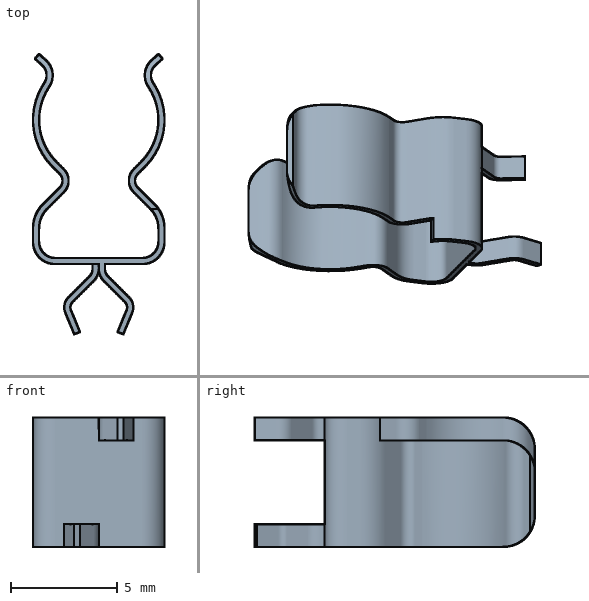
import cadquery as cq
import math

thickness = 0.3
clip_width = 6.2
clip_height = 6.1
leg_height = 1.08

corner_outer_radius = 1.05
side_wall_end_y = 1.69
shoulder_outer_radius = 1.6
neck_half_gap = 1.41
neck_inner_radius = 0.45
lip_inner_radius = 0.65
lip_half_gap = 2.16
lip_flare_angle = 48
lip_length = 0.45
tip_corner_radius = 1.5
neck_angle = 45

leg_root_length = 0.24
leg_root_inner_radius = 0.45
leg_spread_angle = 45
leg_half_spread = 1.63
leg_knee_inner_radius = 0.35
leg_return_angle = 22.5
leg_end_length = 1.11

half_thickness = thickness / 2
half_width = clip_width / 2
half_height = clip_height / 2


def sine(degrees):
    return math.sin(math.radians(degrees))


def cosine(degrees):
    return math.cos(math.radians(degrees))


def offset_point(point, direction, distance):
    """Point moved by a distance along a direction given in degrees."""
    return (point[0] + distance * cosine(direction), point[1] + distance * sine(direction))


def straight(length):
    return ("straight", length, 0)


def bend(radius, turn):
    """Bend with a mid-sheet radius; a positive turn is anticlockwise."""
    return ("bend", radius, turn)


def formed_strip(start, heading, stretches, bottom, height):
    """Sheet strip that follows straight and bent stretches in XY, extruded along Z."""
    position = start
    edges = []
    for kind, size, turn in stretches:
        left_start = offset_point(position, heading + 90, half_thickness)
        right_start = offset_point(position, heading - 90, half_thickness)
        if kind == "straight":
            middle = offset_point(position, heading, size / 2)
            middle_heading = heading
            position = offset_point(position, heading, size)
        else:
            to_center = heading + math.copysign(90, turn)
            center = offset_point(position, to_center, size)
            middle = offset_point(center, to_center + 180 + turn / 2, size)
            middle_heading = heading + turn / 2
            position = offset_point(center, to_center + 180 + turn, size)
            heading += turn
        left = (
            left_start,
            offset_point(middle, middle_heading + 90, half_thickness),
            offset_point(position, heading + 90, half_thickness),
        )
        right = (
            offset_point(position, heading - 90, half_thickness),
            offset_point(middle, middle_heading - 90, half_thickness),
            right_start,
        )
        edges.append((kind, left, right))

    outline = cq.Workplane("XY", origin=(0, 0, bottom)).moveTo(*edges[0][1][0])
    for kind, left, _ in edges:
        outline = outline.lineTo(*left[2]) if kind == "straight" else outline.threePointArc(*left[1:])
    outline = outline.lineTo(*edges[-1][2][0])
    for kind, _, right in reversed(edges):
        outline = outline.lineTo(*right[2]) if kind == "straight" else outline.threePointArc(*right[1:])
    return outline.close().extrude(height)


corner_radius = corner_outer_radius - half_thickness
shoulder_radius = shoulder_outer_radius - half_thickness
neck_radius = neck_inner_radius + half_thickness
lip_radius = lip_inner_radius + half_thickness
bulge_radius = half_width - half_thickness

shoulder_center_x = half_width - shoulder_outer_radius
shoulder_end_x = shoulder_center_x + shoulder_radius * cosine(neck_angle)
neck_center_x = neck_half_gap + half_thickness + neck_radius
neck_start_x = neck_center_x - neck_radius * cosine(neck_angle)
bulge_start_x = bulge_radius * cosine(neck_angle)
shoulder_to_neck = (shoulder_end_x - neck_start_x) / sine(neck_angle)
neck_to_bulge = (bulge_start_x - neck_start_x) / sine(neck_angle)

neck_center_y = (
    side_wall_end_y
    + (shoulder_radius + neck_radius) * sine(neck_angle)
    + shoulder_to_neck * cosine(neck_angle)
)
bulge_center_y = (
    neck_center_y
    + (neck_radius + bulge_radius) * sine(neck_angle)
    + neck_to_bulge * cosine(neck_angle)
)
lip_center_x = lip_half_gap + half_thickness + lip_radius
bulge_end_angle = math.degrees(math.acos(lip_center_x / (bulge_radius + lip_radius)))
lip_center_y = bulge_center_y + (bulge_radius + lip_radius) * sine(bulge_end_angle)
tip_y = (
    lip_center_y
    + (lip_radius + half_thickness) * sine(lip_flare_angle)
    + lip_length * cosine(lip_flare_angle)
)
notch_y = side_wall_end_y + (shoulder_outer_radius - thickness) * sine(neck_angle)


def arm_side_limits():
    """Side shape of the arm: full-height back, notched at the top, rounded tip."""
    bottom_corner = cq.Workplane("YZ", origin=(0, 0, -half_height))
    arm_height = clip_height - leg_height
    back = bottom_corner.rect(notch_y, clip_height, centered=False).extrude(clip_width)
    arm = bottom_corner.rect(tip_y, arm_height, centered=False).extrude(clip_width)
    arm = arm.edges("|X and >Y").fillet(tip_corner_radius)
    return back.union(arm)


def make_arm():
    stretches = [
        straight(half_width - corner_outer_radius),
        bend(corner_radius, 90),
        straight(side_wall_end_y - corner_outer_radius),
        bend(shoulder_radius, neck_angle),
        straight(shoulder_to_neck),
        bend(neck_radius, -2 * neck_angle),
        straight(neck_to_bulge),
        bend(bulge_radius, neck_angle + bulge_end_angle),
        bend(lip_radius, -bulge_end_angle - lip_flare_angle),
        straight(lip_length),
    ]
    strip = formed_strip((0, half_thickness), 0, stretches, -half_height, clip_height)
    return strip.intersect(arm_side_limits())


def make_leg():
    root_radius = leg_root_inner_radius + half_thickness
    knee_radius = leg_knee_inner_radius + half_thickness
    spread_start_x = half_thickness + root_radius * (1 - cosine(leg_spread_angle))
    knee_center_x = leg_half_spread - half_thickness - knee_radius
    spread_end_x = knee_center_x + knee_radius * cosine(leg_spread_angle)
    stretches = [
        straight(half_thickness + leg_root_length),
        bend(root_radius, leg_spread_angle),
        straight((spread_end_x - spread_start_x) / sine(leg_spread_angle)),
        bend(knee_radius, -leg_spread_angle - leg_return_angle),
        straight(leg_end_length),
    ]
    root = (half_thickness, half_thickness)
    return formed_strip(root, -90, stretches, half_height - leg_height, leg_height)


half_clip = make_arm().union(make_leg())
other_half = half_clip.rotate((0, 0, 0), (0, 1, 0), 180)
result = half_clip.union(other_half)